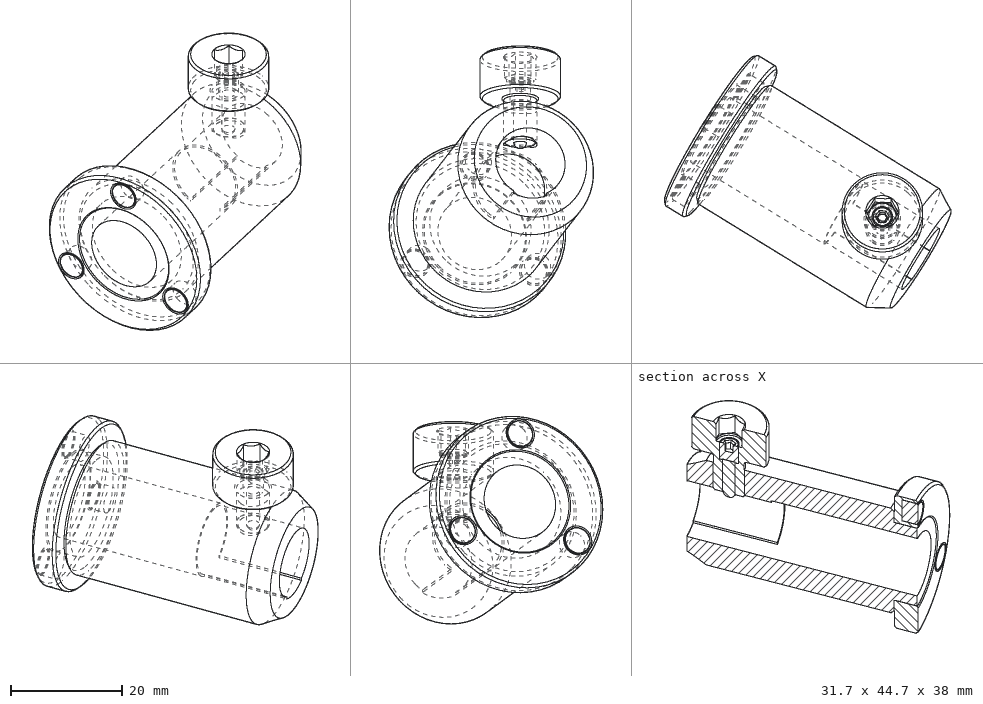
import cadquery as cq
import math


total_length = 44.7
tube_radius = 12.5
tube_front_chamfer = 0.65
taper_length = 3.75
taper_angle = 30.0
taper_drop = taper_length * math.tan(math.radians(taper_angle))
boss_radius = 9.35
boss_recess = 0.22

clearance_radius = 6.8
clamp_radius = 6.4
relief_width = 6.15

flange_radius = 15.85
flange_thickness = 4.65
flange_chamfer = 0.5
flange_bore_chamfer = 0.22

magnet_count = 3
magnet_circle_radius = 12.6
magnet_radius = 2.4
magnet_depth = 3.15
magnet_chamfer = 0.1
magnet_pocket_chamfer = 0.25

screw_y = 36.55
knob_radius = 7.25
knob_height = 7.82
knob_chamfer = 0.45
knob_top = 22.15
knob_bottom = knob_top - knob_height
stem_radius = 3.0
stem_bottom = 6.0
stem_chamfer = 0.3
stem_root_chamfer = 0.3

socket_flats = 5.0
socket_depth = 4.02
socket_mouth_radius = 3.0
socket_floor_radius = 2.45
socket_floor_depth = 0.45
floor_z = knob_top - socket_depth - socket_floor_depth

set_screw_radius = 1.85
set_screw_length = 4.02
set_screw_chamfer = 0.22
set_screw_bottom = floor_z - set_screw_length
key_flats = 1.5
key_depth = 1.8
key_chamfer = 0.3

plunger_radius = 1.15
plunger_bottom = 5.0

clamp_start = total_length - 2 * (total_length - screw_y)


def y_cylinder(radius, start, end):
    """Cylinder about the tube axis, from Y = start to Y = end."""
    return cq.Workplane("XZ", origin=(0, start, 0)).circle(radius).extrude(start - end)


def screw_plane(z):
    """Horizontal workplane at height z, centred on the thumbscrew axis."""
    return cq.Workplane("XY", origin=(0, screw_y, z))


def screw_cylinder(radius, bottom, top):
    """Cylinder about the thumbscrew axis."""
    return screw_plane(bottom).circle(radius).extrude(top - bottom)


def turned_on_screw_axis(outline):
    """Turn a closed (radius, z) outline about the thumbscrew axis."""
    half_section = cq.Workplane("XZ", origin=(0, screw_y, 0)).polyline(outline).close()
    return half_section.revolve(360, (0, 0), (0, 1))


def hex_cutter(flats, depth, top):
    """Upright hexagonal prism that reaches down from height top."""
    corner_diameter = flats / math.cos(math.pi / 6)
    return screw_plane(top).polygon(6, corner_diameter).extrude(-depth)


def magnet_places():
    """Centres of the magnets in the front face, with the first one at the top."""
    return cq.Workplane("XZ").polarArray(magnet_circle_radius, 90, 360, magnet_count)


def build_tube():
    outline = [
        (0, boss_recess),
        (boss_radius, boss_recess),
        (boss_radius, flange_thickness),
        (tube_radius - tube_front_chamfer, flange_thickness),
        (tube_radius, flange_thickness + tube_front_chamfer),
        (tube_radius, total_length - taper_length),
        (tube_radius - taper_drop, total_length),
        (0, total_length),
    ]
    tube = cq.Workplane("XY").polyline(outline).close().revolve(360, (0, 0), (0, 1))

    clearance_bore = y_cylinder(clearance_radius, 0, clamp_start)
    clamp_bore = y_cylinder(clamp_radius, clamp_start, total_length)

    lower_slot = cq.Workplane("XY").box(
        relief_width, total_length, clearance_radius, centered=(True, False, False)
    ).translate((0, 0, -clearance_radius))
    relief = y_cylinder(clearance_radius, clamp_start, total_length).intersect(lower_slot)

    screw_hole = screw_cylinder(stem_radius, 0, tube_radius)
    return tube.cut(clearance_bore).cut(clamp_bore).cut(relief).cut(screw_hole)


def build_flange():
    flange = y_cylinder(flange_radius, 0, flange_thickness)
    flange = flange.edges("%CIRCLE").chamfer(flange_chamfer)
    flange = flange.cut(y_cylinder(boss_radius, 0, flange_thickness))
    inner_rim = cq.selectors.RadiusNthSelector(0)
    flange = flange.faces("<Y").edges(inner_rim).chamfer(flange_bore_chamfer)

    pockets = magnet_places().circle(magnet_radius).extrude(-magnet_depth)

    mouth_radius = magnet_radius + magnet_pocket_chamfer
    mouths = magnet_places().circle(mouth_radius).extrude(-magnet_pocket_chamfer, taper=45)
    return flange.cut(pockets).cut(mouths)


def build_magnets():
    magnets = magnet_places().circle(magnet_radius).extrude(-magnet_depth)
    return magnets.faces("<Y").edges().chamfer(magnet_chamfer)


def build_thumbscrew():
    outline = [
        (0, stem_bottom),
        (stem_radius - stem_chamfer, stem_bottom),
        (stem_radius, stem_bottom + stem_chamfer),
        (stem_radius, knob_bottom - stem_root_chamfer),
        (stem_radius + stem_root_chamfer, knob_bottom),
        (knob_radius - knob_chamfer, knob_bottom),
        (knob_radius, knob_bottom + knob_chamfer),
        (knob_radius, knob_top - knob_chamfer),
        (knob_radius - knob_chamfer, knob_top),
        (0, knob_top),
    ]
    thumbscrew = turned_on_screw_axis(outline)

    socket = hex_cutter(socket_flats, socket_depth, knob_top)
    countersink = turned_on_screw_axis([
        (0, knob_top),
        (socket_mouth_radius, knob_top),
        (0, knob_top - socket_mouth_radius),
    ])
    socket_floor = screw_cylinder(socket_floor_radius, floor_z, knob_top - socket_depth)
    set_screw_hole = screw_cylinder(set_screw_radius, set_screw_bottom, floor_z)
    plunger_hole = screw_cylinder(plunger_radius, stem_bottom, set_screw_bottom)
    thumbscrew = thumbscrew.cut(socket).cut(countersink)
    return thumbscrew.cut(socket_floor).cut(set_screw_hole).cut(plunger_hole)


def build_set_screw():
    set_screw = screw_cylinder(set_screw_radius, set_screw_bottom, floor_z)
    set_screw = set_screw.faces(">Z").chamfer(set_screw_chamfer)
    set_screw = set_screw.cut(hex_cutter(key_flats, key_depth, floor_z))
    return set_screw.faces(">Z").edges("%LINE").chamfer(key_chamfer)


def build_plunger():
    nose_centre = plunger_bottom + plunger_radius
    pin = screw_cylinder(plunger_radius, nose_centre, set_screw_bottom)
    nose = screw_plane(nose_centre).sphere(plunger_radius)
    return pin.union(nose)


tube = build_tube()
flange = build_flange()
magnets = build_magnets()
thumbscrew = build_thumbscrew()
set_screw = build_set_screw()
plunger = build_plunger()

result = cq.Compound.makeCompound([
    tube.val(),
    flange.val(),
    *magnets.vals(),
    thumbscrew.val(),
    set_screw.val(),
    plunger.val(),
])